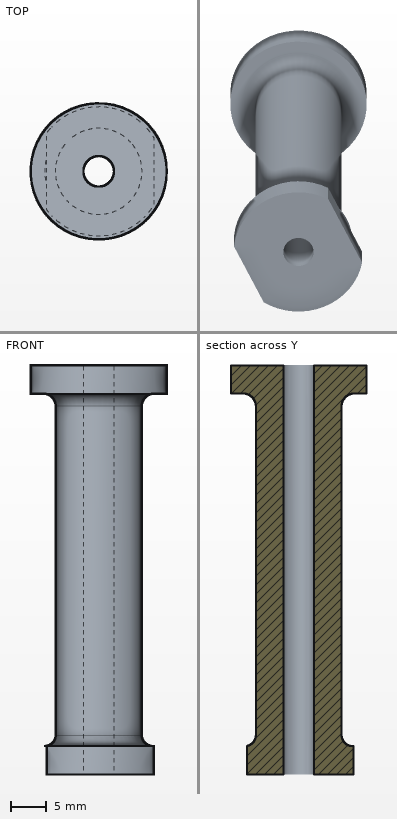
import cadquery as cq

total_height = 57.0
shaft_diameter = 12.0
bore_diameter = 4.2

head_diameter = 19.0
foot_diameter = 18.0
near_flat_distance = 7.25
far_flat_distance = 7.7
flange_thickness = 4.0

head_fillet_radius = 1.7
foot_fillet_radius = 1.5


def make_foot():
    """Disc with two flats facing -X and +X."""
    disc = cq.Workplane("XY").circle(foot_diameter / 2).extrude(flange_thickness)
    flats = (
        cq.Workplane("XY")
        .center((far_flat_distance - near_flat_distance) / 2, 0)
        .rect(near_flat_distance + far_flat_distance, foot_diameter)
        .extrude(flange_thickness)
    )
    return disc.intersect(flats)


def make_shaft():
    """Revolved shaft that flares out in a quarter arc at each end."""
    shaft_radius = shaft_diameter / 2
    head_arc_offset = head_fillet_radius * (1 - 0.5**0.5)
    bottom = flange_thickness
    top = total_height - flange_thickness
    foot_arc_offset = foot_fillet_radius * (1 - 0.5**0.5)
    profile = (
        cq.Workplane("XZ")
        .moveTo(0, bottom)
        .lineTo(shaft_radius + foot_fillet_radius, bottom)
        .threePointArc(
            (shaft_radius + foot_arc_offset, bottom + foot_arc_offset),
            (shaft_radius, bottom + foot_fillet_radius),
        )
        .lineTo(shaft_radius, top - head_fillet_radius)
        .threePointArc(
            (shaft_radius + head_arc_offset, top - head_arc_offset),
            (shaft_radius + head_fillet_radius, top),
        )
        .lineTo(0, top)
        .close()
    )
    return profile.revolve(360, (0, 0, 0), (0, 1, 0))


def make_head():
    head = cq.Workplane("XY").circle(head_diameter / 2).extrude(flange_thickness)
    return head.translate((0, 0, total_height - flange_thickness))


bore = cq.Workplane("XY").circle(bore_diameter / 2).extrude(total_height)
result = make_foot().union(make_shaft()).union(make_head()).cut(bore)